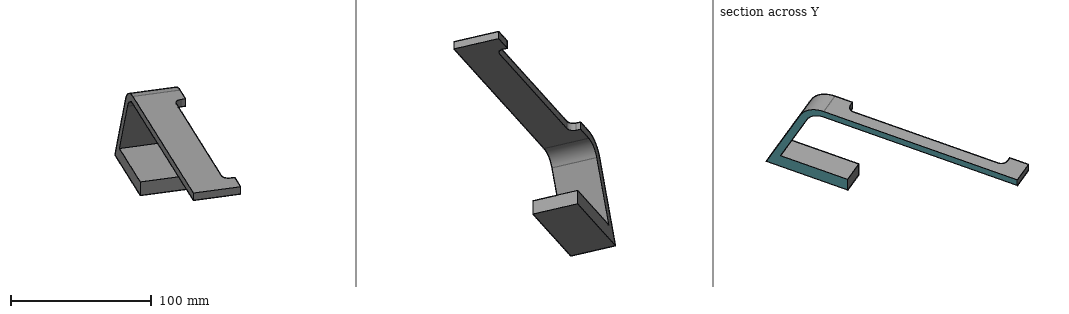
import cadquery as cq
import math

length = 200.0
width = 35.0
height = 70.0

base_length = 65.0
base_thickness = 11.0
arm_thickness = 6.0
lean_angle = math.radians(65)
outer_bend_radius = 21.0
inner_bend_radius = outer_bend_radius - arm_thickness

notch_start = 60.0
notch_end = 185.0
notch_depth = 8.5
notch_corner_radius = 5.0

bend_center_x = height / math.tan(lean_angle) + outer_bend_radius * math.tan(lean_angle / 2)
bend_center_z = height - outer_bend_radius
leg_width_along_x = arm_thickness / math.sin(lean_angle)
inner_corner_x = base_thickness / math.tan(lean_angle) + leg_width_along_x


def bend_point(radius, turn):
    """Point on a bend, at an angle turned from its top toward the leg."""
    return (
        bend_center_x - radius * math.sin(turn),
        bend_center_z + radius * math.cos(turn),
    )


def make_bracket():
    """Foot, leaning leg and level arm as one extruded profile."""
    profile = (
        cq.Workplane("XZ")
        .moveTo(0, 0)
        .lineTo(*bend_point(outer_bend_radius, lean_angle))
        .threePointArc(
            bend_point(outer_bend_radius, lean_angle / 2),
            bend_point(outer_bend_radius, 0),
        )
        .lineTo(length, height)
        .lineTo(length, height - arm_thickness)
        .lineTo(*bend_point(inner_bend_radius, 0))
        .threePointArc(
            bend_point(inner_bend_radius, lean_angle / 2),
            bend_point(inner_bend_radius, lean_angle),
        )
        .lineTo(inner_corner_x, base_thickness)
        .lineTo(base_length, base_thickness)
        .lineTo(base_length, 0)
        .close()
    )
    return profile.extrude(-width)


def make_notch():
    """Cutter for the arm only, with its two inner corners rounded."""
    return (
        cq.Workplane("XY")
        .box(notch_end - notch_start, notch_depth, arm_thickness, centered=False)
        .edges("|Z and <Y")
        .fillet(notch_corner_radius)
        .translate((notch_start, width - notch_depth, height - arm_thickness))
    )


result = make_bracket().cut(make_notch())